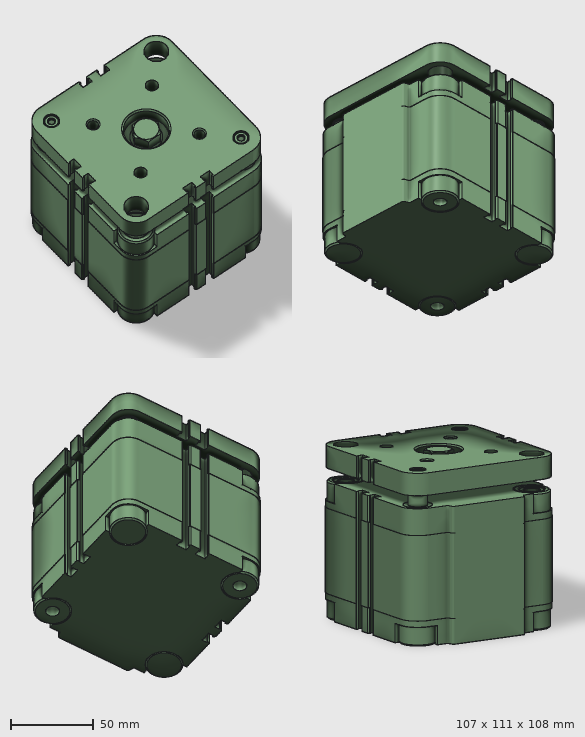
import cadquery as cq

HOUSING_TOP = 86.0
PLATE_BOTTOM = 94.0
PLATE_TOP = 108.0
TUBE_BOTTOM = 16.0
TUBE_TOP = 69.3

TUBE_SIDE = 107.0
CAP_STEP = 0.2
CAP_SIDE = TUBE_SIDE - 2 * CAP_STEP
PLATE_SIDE = 106.0
TUBE_CORNER_RADIUS = 12.25
CAP_CORNER_RADIUS = TUBE_CORNER_RADIUS - CAP_STEP
PLATE_CORNER_RADIUS = 12.25

CORNER = 41.0
ROD_CORNERS = [(CORNER, CORNER), (-CORNER, -CORNER)]
SCREW_CORNERS = [(-CORNER, CORNER), (CORNER, -CORNER)]

SLOT_OFFSET = 6.85
SLOT_MOUTH = 5.3
SLOT_CAVITY = 7.0
SLOT_FLOOR = 48.2
LIP_INNER = 51.6
MOUTH_CHAMFER = 0.3
CAP_RIB_CHAMFER = 1.0
SLOT_FACE_ANGLES = (0, 90, -90)

RIDGE_TOP_Y = 57.5
RIDGE_TOP_HALF = 25.7
RIDGE_FOOT_HALF = 27.1
RIDGE_SMALL_FILLET = 1.0
RIDGE_LARGE_FILLET = 1.5

POCKET_WALL = 34.6
LOWER_POCKET_HEIGHT = 12.0
UPPER_POCKET_HEIGHT = 12.5
BOSS_DIA = 23.0
BOSS_CHAMFER = 1.0

THREAD_DIA = 8.38
COUNTERBORE_DIA = 9.8
COUNTERBORE_DEPTH = 2.5
COUNTERSINK_DIA = 10.6
SEAT_DIA = 16.5
SEAT_FLOOR_DIA = 15.4

PISTON_DIA = 20.0
WRENCH_WIDTH = 17.0
WRENCH_BOTTOM = 87.0
GUIDE_DIA = 12.0
GUIDE_COLLAR_DIA = 13.0
GUIDE_COLLAR_HEIGHT = 0.9
BUSHING_DIA = 18.0
BUSHING_RECESS = 0.2
ROD_BOTTOM = TUBE_BOTTOM

ACCESS_DIA = 15.0
BOLT_OFFSET = 23.0
DOWEL_DIA = 8.0
BOLT_DIA = 6.65
BOLT_SINK_DIA = 8.38
PIT_DIA = 28.0
PIT_MOUTH_DIA = 30.0
PIT_FLOOR = 99.5
ROD_END_RISE = 0.2
HEX_WIDTH = 16.0
HEX_TOP_DIA = 15.4
HEX_CHAMFER_HEIGHT = 0.9
GUIDE_SCREW_HOLE_DIA = 9.8
GUIDE_SCREW_HOLE_DEPTH = 1.6
GUIDE_SCREW_DIA = 9.0
GUIDE_SCREW_BEVEL = 0.4
GUIDE_SCREW_SINK = 0.5
SOCKET_SINK_DIA = 5.0
SOCKET_WIDTH = 4.0
SOCKET_DEPTH = 1.5

HEX_CORNER_RATIO = 2 / 3 ** 0.5
SELECT_MARGIN = 0.1


def square_block(side, radius, bottom, top):
    """Upright square block with round corners."""
    block = cq.Workplane("XY").workplane(offset=bottom).rect(side, side).extrude(top - bottom)
    return block.edges("|Z").fillet(radius)


def cylinder(point, diameter, bottom, top):
    return cq.Workplane("XY", origin=(*point, bottom)).circle(diameter / 2).extrude(top - bottom)


def cone(point, bottom_dia, top_dia, bottom, top):
    """Upright cone frustum at a point."""
    profile = [(0, bottom), (bottom_dia / 2, bottom), (top_dia / 2, top), (0, top)]
    frustum = cq.Workplane("XZ").polyline(profile).close().revolve(360, (0, 0, 0), (0, 1, 0))
    return frustum.translate((point[0], point[1], 0))


def hexagon(point, width, bottom, top):
    """Hexagonal prism with two flats facing +X and -X."""
    prism = cq.Workplane("XY").polygon(6, width * HEX_CORNER_RATIO).extrude(top - bottom)
    return prism.rotate((0, 0, 0), (0, 0, 1), 30).translate((point[0], point[1], bottom))


def slot_cutter(face, rib_chamfer, bottom, top):
    """Six T-slots: a mirrored pair on the front, right and left faces."""
    inner = SLOT_OFFSET - SLOT_MOUTH / 2
    outer = SLOT_OFFSET + SLOT_MOUTH / 2
    cavity_inner = SLOT_OFFSET - SLOT_CAVITY / 2
    cavity_outer = SLOT_OFFSET + SLOT_CAVITY / 2
    profile = [
        (cavity_inner, -SLOT_FLOOR),
        (cavity_outer, -SLOT_FLOOR),
        (cavity_outer, -LIP_INNER),
        (outer, -LIP_INNER),
        (outer, MOUTH_CHAMFER - face),
        (outer + MOUTH_CHAMFER, -face),
        (inner - rib_chamfer, -face),
        (inner, rib_chamfer - face),
        (inner, -LIP_INNER),
        (cavity_inner, -LIP_INNER),
    ]
    slot = cq.Workplane("XY").workplane(offset=bottom).polyline(profile).close().extrude(top - bottom)
    pair = slot.union(slot.mirror("YZ"))
    cutter = cq.Workplane("XY")
    for angle in SLOT_FACE_ANGLES:
        cutter = cutter.add(pair.rotate((0, 0, 0), (0, 0, 1), angle))
    return cutter.combine()


def back_ridge(face, crest_fillet, foot_fillet, bottom, top):
    """Flat-topped ridge with sloping ends, blended into the back face."""
    base = RIDGE_FOOT_HALF + 2 * foot_fillet
    root = face - 2 * foot_fillet
    profile = [
        (-base, root),
        (-base, face),
        (-RIDGE_FOOT_HALF, face),
        (-RIDGE_TOP_HALF, RIDGE_TOP_Y),
        (RIDGE_TOP_HALF, RIDGE_TOP_Y),
        (RIDGE_FOOT_HALF, face),
        (base, face),
        (base, root),
    ]
    ridge = cq.Workplane("XY").workplane(offset=bottom).polyline(profile).close().extrude(top - bottom)
    ridge = ridge.edges("|Z and >Y").fillet(crest_fillet)
    foot_edges = cq.selectors.BoxSelector(
        (-RIDGE_FOOT_HALF - foot_fillet, face - SELECT_MARGIN, bottom - SELECT_MARGIN),
        (RIDGE_FOOT_HALF + foot_fillet, face + SELECT_MARGIN, top + SELECT_MARGIN),
    )
    return ridge.edges("|Z").edges(foot_edges).fillet(foot_fillet)


def housing_section(side, radius, rib_chamfer, crest_fillet, foot_fillet, bottom, top):
    """One storey of the housing with its slots and ridge."""
    section = square_block(side, radius, bottom, top)
    section = section.union(back_ridge(side / 2, crest_fillet, foot_fillet, bottom, top))
    return section.cut(slot_cutter(side / 2, rib_chamfer, bottom, top))


def end_cap(bottom, top):
    return housing_section(CAP_SIDE, CAP_CORNER_RADIUS, CAP_RIB_CHAMFER,
                           RIDGE_LARGE_FILLET, RIDGE_SMALL_FILLET, bottom, top)


def corner_pocket(point, bottom, top):
    """Cutter that leaves a round boss standing in a square corner notch."""
    size = TUBE_SIDE / 2 - POCKET_WALL
    middle = POCKET_WALL + size / 2
    x_side = 1 if point[0] > 0 else -1
    y_side = 1 if point[1] > 0 else -1
    notch = cq.Workplane("XY").workplane(offset=bottom).center(x_side * middle, y_side * middle)
    notch = notch.rect(size, size).extrude(top - bottom)
    return notch.cut(cylinder(point, BOSS_DIA, bottom, top))


def boss_chamfer(point, face, inward):
    """Ring cutter that bevels the rim of a corner boss; inward is +1 or -1 along Z."""
    outer = BOSS_DIA / 2
    profile = [(outer - BOSS_CHAMFER, face), (outer, face), (outer, face + inward * BOSS_CHAMFER)]
    ring = cq.Workplane("XZ").polyline(profile).close().revolve(360, (0, 0, 0), (0, 1, 0))
    return ring.translate((point[0], point[1], 0))


def threaded_hole(point):
    """Through hole, counterbored and countersunk, inside a shallow conical seat."""
    seat_depth = (SEAT_DIA - SEAT_FLOOR_DIA) / 2
    seat_floor = HOUSING_TOP - seat_depth
    sink_depth = (COUNTERSINK_DIA - COUNTERBORE_DIA) / 2
    hole = cylinder(point, THREAD_DIA, 0, HOUSING_TOP)
    hole = hole.union(cylinder(point, COUNTERBORE_DIA, seat_floor - COUNTERBORE_DEPTH, seat_floor))
    hole = hole.union(cone(point, COUNTERBORE_DIA, COUNTERSINK_DIA, seat_floor - sink_depth, seat_floor))
    return hole.union(cone(point, SEAT_FLOOR_DIA, SEAT_DIA, seat_floor, HOUSING_TOP))


def make_housing():
    tube = housing_section(TUBE_SIDE, TUBE_CORNER_RADIUS, MOUTH_CHAMFER,
                           RIDGE_SMALL_FILLET, RIDGE_LARGE_FILLET, TUBE_BOTTOM, TUBE_TOP)
    body = tube.union(end_cap(0, TUBE_BOTTOM)).union(end_cap(TUBE_TOP, HOUSING_TOP))

    for point in ROD_CORNERS + SCREW_CORNERS:
        body = body.cut(corner_pocket(point, 0, LOWER_POCKET_HEIGHT))
        body = body.cut(boss_chamfer(point, 0, 1))

    for point in SCREW_CORNERS:
        body = body.cut(corner_pocket(point, HOUSING_TOP - UPPER_POCKET_HEIGHT, HOUSING_TOP))
        body = body.cut(boss_chamfer(point, HOUSING_TOP, -1))
        body = body.cut(threaded_hole(point))

    for point in ROD_CORNERS:
        body = body.cut(cylinder(point, GUIDE_DIA, ROD_BOTTOM, HOUSING_TOP))
        body = body.cut(cylinder(point, BUSHING_DIA, HOUSING_TOP - BUSHING_RECESS, HOUSING_TOP))

    return body.cut(cylinder((0, 0), PISTON_DIA, ROD_BOTTOM, HOUSING_TOP))


def piston_rod():
    """Round rod with two wrench flats facing +Y and -Y."""
    rod_top = PIT_FLOOR + ROD_END_RISE
    rod = cylinder((0, 0), PISTON_DIA, ROD_BOTTOM, rod_top)
    flat_depth = (PISTON_DIA - WRENCH_WIDTH) / 2
    flat_middle = (PISTON_DIA - flat_depth) / 2
    for side in (-1, 1):
        flat = cq.Workplane("XY", origin=(0, side * flat_middle, WRENCH_BOTTOM))
        flat = flat.rect(PISTON_DIA, flat_depth).extrude(PLATE_BOTTOM - WRENCH_BOTTOM)
        rod = rod.cut(flat)
    return rod


def hex_head():
    """Hexagonal screw head with a bevelled top."""
    head = hexagon((0, 0), HEX_WIDTH, PIT_FLOOR, PLATE_TOP)
    corner_dia = HEX_WIDTH * HEX_CORNER_RATIO
    bevel_bottom = PLATE_TOP - HEX_CHAMFER_HEIGHT
    envelope = cylinder((0, 0), corner_dia, PIT_FLOOR, bevel_bottom)
    envelope = envelope.union(cone((0, 0), corner_dia, HEX_TOP_DIA, bevel_bottom, PLATE_TOP))
    return head.intersect(envelope)


def guide_screw_recess(point):
    """Recess round the sunken end of a guide screw, with its hexagonal socket."""
    screw_end = PLATE_TOP - GUIDE_SCREW_SINK
    sink_depth = (SOCKET_SINK_DIA - SOCKET_WIDTH) / 2
    recess_floor = PLATE_TOP - GUIDE_SCREW_HOLE_DEPTH
    recess = cylinder(point, GUIDE_SCREW_HOLE_DIA, recess_floor, PLATE_TOP)
    bevel_bottom = screw_end - GUIDE_SCREW_BEVEL
    end_dia = GUIDE_SCREW_DIA - 2 * GUIDE_SCREW_BEVEL
    recess = recess.cut(cylinder(point, GUIDE_SCREW_DIA, recess_floor, bevel_bottom))
    recess = recess.cut(cone(point, GUIDE_SCREW_DIA, end_dia, bevel_bottom, screw_end))
    recess = recess.union(cone(point, SOCKET_WIDTH, SOCKET_SINK_DIA, screw_end - sink_depth, screw_end))
    return recess.union(hexagon(point, SOCKET_WIDTH, screw_end - SOCKET_DEPTH, screw_end))


def make_carriage():
    """Moving plate with its piston rod, screw head and guide rods."""
    plate = square_block(PLATE_SIDE, PLATE_CORNER_RADIUS, PLATE_BOTTOM, PLATE_TOP)
    plate = plate.cut(slot_cutter(PLATE_SIDE / 2, MOUTH_CHAMFER, PLATE_BOTTOM, PLATE_TOP))

    pit_bevel = (PIT_MOUTH_DIA - PIT_DIA) / 2
    plate = plate.cut(cylinder((0, 0), PIT_DIA, PIT_FLOOR, PLATE_TOP))
    plate = plate.cut(cone((0, 0), PIT_DIA, PIT_MOUTH_DIA, PLATE_TOP - pit_bevel, PLATE_TOP))

    for point in SCREW_CORNERS:
        plate = plate.cut(cylinder(point, ACCESS_DIA, PLATE_BOTTOM, PLATE_TOP))

    for side in (-1, 1):
        dowel_point = (-side * BOLT_OFFSET, side * BOLT_OFFSET)
        bolt_point = (side * BOLT_OFFSET, side * BOLT_OFFSET)
        bolt_sink = (BOLT_SINK_DIA - BOLT_DIA) / 2
        plate = plate.cut(cylinder(dowel_point, DOWEL_DIA, PLATE_BOTTOM, PLATE_TOP))
        plate = plate.cut(cylinder(bolt_point, BOLT_DIA, PLATE_BOTTOM, PLATE_TOP))
        plate = plate.cut(cone(bolt_point, BOLT_DIA, BOLT_SINK_DIA, PLATE_TOP - bolt_sink, PLATE_TOP))

    carriage = plate.union(piston_rod()).union(hex_head())
    for point in ROD_CORNERS:
        collar_bottom = PLATE_BOTTOM - GUIDE_COLLAR_HEIGHT
        carriage = carriage.union(cylinder(point, GUIDE_DIA, ROD_BOTTOM, PLATE_BOTTOM))
        carriage = carriage.union(cylinder(point, GUIDE_COLLAR_DIA, collar_bottom, PLATE_BOTTOM))
        carriage = carriage.cut(guide_screw_recess(point))
    return carriage


housing = make_housing()
carriage = make_carriage()

result = cq.Compound.makeCompound([housing.solids().val(), carriage.solids().val()])